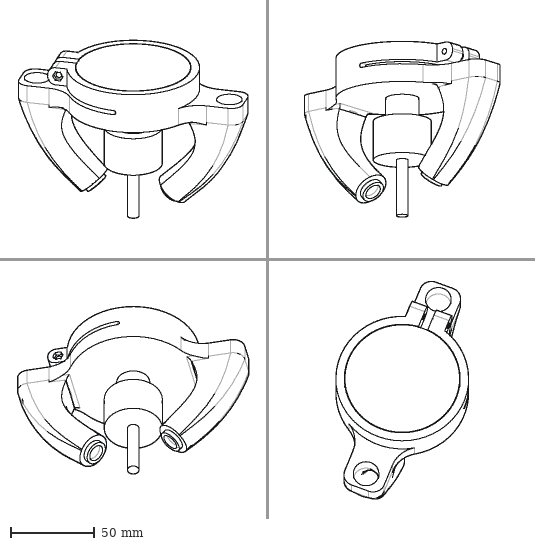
import cadquery as cq
import math

ring_diameter = 80.0
bore_diameter = 69.7
plate_thickness = 11.0
ring_top = 25.0
relief_height = 2.7
ring_bottom = plate_thickness + relief_height

lug_end = 139.77 / 2
lug_width = 25.5
lug_corner_radius = 7.2
lug_blend_radius = 18.0
blend_y = lug_width / 2 + lug_blend_radius
blend_x = math.sqrt((ring_diameter / 2 + lug_blend_radius) ** 2 - blend_y**2)
lug_hole_diameter = 15.4
lug_hole_x = 60.0

ear_end = 49.9
ear_nose_radius = 5.0
ear_gap = 6.0
screw_diameter = 3.4
screw_x = 43.6
screw_z = (ring_bottom + ring_top) / 2
nut_across_flats = 5.5
nut_depth = 2.5

arm_stations = [
    ((-lug_end, 0.0), (-37.8, 0.0), lug_width),
    ((-65.3, -15.0), (-40.6, -11.5), 24.8),
    ((-58.3, -29.7), (-38.6, -21.0), 24.0),
    ((-46.4, -46.0), (-28.3, -34.2), 23.0),
    ((-32.6, -59.3), (-16.7, -45.1), 21.4),
]
arm_end_corner_radius = 0.5
arm_root_radius = 2.5
arm_root_width = 25.1
arm_root_inner = -38.5
spigot_diameter = 14.4
spigot_length = 2.8
spigot_bore_diameter = 10.09

motor_diameter = 69.0
motor_bottom = 12.0
hub_diameter = 20.0
drum_diameter = 35.0
drum_top = -14.2
drum_bottom = -38.3
shaft_diameter = 7.0
overall_height = 98.0
shaft_bottom = ring_top - overall_height


def cylinder(diameter, bottom, top, x=0.0):
    """Vertical cylinder between two heights."""
    return cq.Workplane("XY", origin=(x, 0, bottom)).circle(diameter / 2).extrude(top - bottom)


def box(x_min, x_max, width, bottom, top):
    """Block centred on Y = 0."""
    return (
        cq.Workplane("XY", origin=(x_min, 0, bottom))
        .rect(x_max - x_min, width)
        .extrude(top - bottom)
        .translate(((x_max - x_min) / 2, 0, 0))
    )


def make_plate():
    """Round plate with two lugs, blended by concave arcs tangent to both."""
    half_width = lug_width / 2
    share = ring_diameter / (ring_diameter + 2 * lug_blend_radius)
    tangent_x = blend_x * share
    tangent_y = blend_y * share

    lugs = box(-lug_end, lug_end, lug_width, 0, plate_thickness)
    lugs = lugs.edges("|Z").fillet(lug_corner_radius)
    web = (
        cq.Workplane("XY")
        .polyline([
            (-blend_x, -half_width),
            (-tangent_x, -tangent_y),
            (tangent_x, -tangent_y),
            (blend_x, -half_width),
            (blend_x, half_width),
            (tangent_x, tangent_y),
            (-tangent_x, tangent_y),
            (-blend_x, half_width),
        ])
        .close()
        .extrude(plate_thickness)
    )
    blend_centres = [(sx * blend_x, sy * blend_y) for sx in (-1, 1) for sy in (-1, 1)]
    blends = cq.Workplane("XY").pushPoints(blend_centres).circle(lug_blend_radius).extrude(plate_thickness)
    return lugs.union(web.cut(blends)).union(cylinder(ring_diameter, 0, plate_thickness))


def arm_plane(outer, inner):
    """Plane across the arm, its local X pointing from the outer to the inner side."""
    across = cq.Vector(inner[0] - outer[0], 0, inner[1] - outer[1])
    centre = ((outer[0] + inner[0]) / 2, 0, (outer[1] + inner[1]) / 2)
    return cq.Plane(origin=centre, xDir=across, normal=cq.Vector(0, 1, 0).cross(across))


def arm_section(station, roundness):
    """Section across the arm: roundness 0 is a block with rounded outer corners, 1 is nearly a circle."""
    outer, inner, width = station
    half_depth = math.dist(outer, inner) / 2
    half_width = width / 2
    diagonal_inset = 1 - math.sqrt(0.5)
    x = half_depth * (1 - diagonal_inset * roundness)
    y = half_width * (1 - diagonal_inset * roundness)
    radius = lug_corner_radius + (arm_end_corner_radius - lug_corner_radius) * roundness
    corner_mid = radius * diagonal_inset

    section = cq.Workplane(arm_plane(outer, inner)).moveTo(x, -y)

    def add_side(section, middle, end):
        """Straight side for the block, bulging arc for the rounded sections."""
        if roundness == 0:
            return section.lineTo(*end)
        return section.threePointArc(middle, end)

    section = add_side(section, (half_depth, 0), (x, y))
    section = add_side(section, (radius / 2, half_width), (radius - x, y))
    section = section.threePointArc((corner_mid - x, y - corner_mid), (-x, y - radius))
    section = add_side(section, (-half_depth, 0), (-x, radius - y))
    section = section.threePointArc((corner_mid - x, corner_mid - y), (radius - x, -y))
    section = add_side(section, (radius / 2, -half_width), (x, -y))
    return section.close().val()


def make_arm():
    """Left arm with its spigot, solid."""
    last = len(arm_stations) - 1
    sections = [arm_section(station, step / last) for step, station in enumerate(arm_stations)]
    outside = cq.Workplane(cq.Solid.makeLoft(sections))
    outer, inner = arm_stations[-1][:2]
    spigot = cq.Workplane(arm_plane(outer, inner)).circle(spigot_diameter / 2).extrude(spigot_length)
    return outside.union(spigot)


def make_arm_root(plate):
    """Concave flare around the top of the arm, kept only where the plate lies above it."""
    radius = arm_root_radius
    flare_side = arm_root_width / 2 + radius
    flare_inner = arm_root_inner + radius
    flare = box(-blend_x, flare_inner, 2 * flare_side, -radius, 0)
    sides = (
        cq.Workplane("YZ", origin=(-blend_x, 0, -radius))
        .pushPoints([(-flare_side, 0), (flare_side, 0)])
        .circle(radius)
        .extrude(blend_x)
    )
    inner_side = (
        cq.Workplane("XZ", origin=(flare_inner, 0, -radius)).circle(radius).extrude(lug_width, both=True)
    )
    return flare.cut(sides).cut(inner_side).intersect(plate.translate((0, 0, -plate_thickness)))


def make_arm_bore():
    """Passage through lug and arm, narrowing to the spigot bore."""
    wall_offset = lug_end - lug_hole_x
    steps = len(arm_stations) - 1
    wires = []
    for step, (outer, inner, _) in enumerate(arm_stations):
        diameter = lug_hole_diameter + (spigot_bore_diameter - lug_hole_diameter) * step / steps
        depth = math.dist(outer, inner)
        offset = depth / 2 if step == steps else wall_offset
        section = cq.Workplane(arm_plane(outer, inner)).center(offset - depth / 2, 0)
        wires.append(section.circle(diameter / 2).val())
    passage = cq.Workplane(cq.Solid.makeLoft(wires))
    outer, inner = arm_stations[-1][:2]
    outlet = cq.Workplane(arm_plane(outer, inner)).circle(spigot_bore_diameter / 2).extrude(spigot_length)
    lug_hole = cylinder(lug_hole_diameter, 0, plate_thickness, -lug_hole_x)
    return lug_hole.union(passage).union(outlet)


def make_ears():
    """Clamp ears on the left of the ring, before they are split."""
    ears = box(-ear_end, -bore_diameter / 2, lug_width, ring_bottom, ring_top)
    return ears.faces("<X").edges("|Y").fillet(ear_nose_radius)


def make_relief_slot():
    """Slot under the left half of the ring, ending in a full round at X = 0."""
    radius = relief_height / 2
    slot = box(-ear_end, -radius, ring_diameter, plate_thickness, ring_bottom)
    round_end = (
        cq.Workplane("XZ", origin=(-radius, 0, plate_thickness + radius))
        .circle(radius)
        .extrude(ring_diameter / 2, both=True)
    )
    return slot.union(round_end)


def make_clamp_screw_hole():
    """Cross hole through both ears with a hexagonal nut pocket on the -Y side."""
    hole = (
        cq.Workplane("XZ", origin=(-screw_x, 0, screw_z))
        .circle(screw_diameter / 2)
        .extrude(lug_width, both=True)
    )
    nut_corners = nut_across_flats / math.cos(math.pi / 6)
    nut_pocket = (
        cq.Workplane("XZ", origin=(-screw_x, -lug_width / 2, screw_z))
        .polygon(6, nut_corners)
        .extrude(-nut_depth)
    )
    return hole.union(nut_pocket)


def make_housing():
    """Plate, split clamp ring and both hollow arms as one solid."""
    plate = make_plate()
    arm = make_arm().union(make_arm_root(plate))
    body = plate.union(arm).union(arm.mirror("YZ"))
    body = body.union(cylinder(ring_diameter, plate_thickness, ring_top)).union(make_ears())
    body = body.cut(make_relief_slot())
    body = body.cut(cylinder(bore_diameter, plate_thickness, ring_top))
    body = body.cut(cylinder(hub_diameter, 0, plate_thickness))
    ear_split = box(-ear_end, 0, ear_gap, ring_bottom, ring_top)
    body = body.cut(ear_split).cut(make_clamp_screw_hole())
    arm_bore = make_arm_bore()
    return body.cut(arm_bore).cut(arm_bore.mirror("YZ"))


def make_motor():
    """Motor can with its hub, drum and shaft, turned about Z."""
    motor = cylinder(motor_diameter, motor_bottom, ring_top)
    motor = motor.union(cylinder(hub_diameter, drum_top, motor_bottom))
    motor = motor.union(cylinder(drum_diameter, drum_bottom, drum_top))
    return motor.union(cylinder(shaft_diameter, shaft_bottom, drum_bottom))


housing = make_housing()
motor = make_motor()
result = cq.Compound.makeCompound([housing.val(), motor.val()])